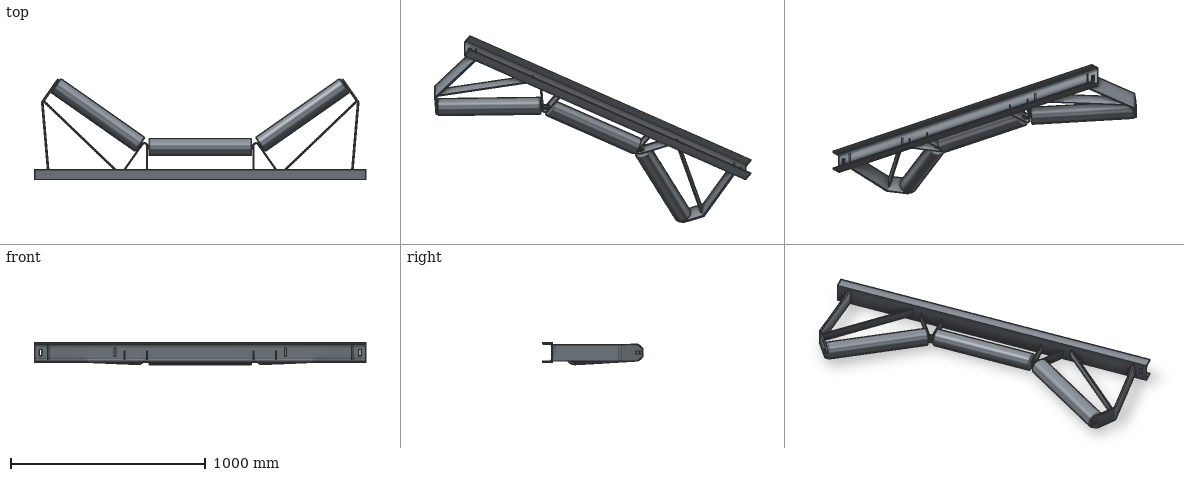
import cadquery as cq
import math


BEAM_LENGTH = 1700.0
BEAM_HEIGHT = 102.0
BEAM_DEPTH = 51.0
WEB_THICKNESS = 5.0
FLANGE_THICKNESS = 8.0
WEB_FILLET = 8.0
FLANGE_TIP_FILLET = 5.0
MOUNT_SLOT_FROM_END = 30.0
MOUNT_SLOT_WIDTH = 14.0
MOUNT_SLOT_HEIGHT = 30.0

ROLLER_RADIUS = 45.0
ROLLER_LENGTH = 527.0
ROLLER_END_FILLET = 5.0
SHAFT_LENGTH = 550.0
SHAFT_RADIUS = 10.0
SHAFT_FLATS = 14.0
CENTER_ROLLER_Y = 115.0
CENTER_ROLLER_Z = -19.0
WING_X = 525.0
WING_Y = 280.0
TROUGH_ANGLE = math.radians(35)
FORWARD_TILT = math.radians(2)

OUTER_THICKNESS = 8.0
OUTER_HEIGHT = 83.0
OUTER_TOP_Z = 40.0
OUTER_FOOT_X = 785.0
OUTER_BEND_BELOW_AXIS = 112.0
OUTER_BEND_RADIUS = 17.0
OUTER_TIP_ABOVE_AXIS = 32.0
TIP_CHAMFER_ALONG = 30.0
TIP_CHAMFER_ACROSS = 20.0

INNER_THICKNESS = 5.0
INNER_HEIGHT = 51.0
INNER_BEND_RADIUS = 16.2

BRACE_THICKNESS = 7.0
BRACE_HEIGHT = 45.0
BRACE_TOP_Z = 24.0
BRACE_FOOT_X = 437.0
BRACE_HEAD_X = 805.0
BRACE_HEAD_Y = 354.0

SHAFT_HALF = SHAFT_LENGTH / 2
OUTER_BOTTOM_Z = OUTER_TOP_Z - OUTER_HEIGHT
COS_TROUGH = math.cos(TROUGH_ANGLE)
SIN_TROUGH = math.sin(TROUGH_ANGLE)
WING_Z = CENTER_ROLLER_Z + SHAFT_HALF * math.sin(FORWARD_TILT)


def wing_point(outward, up):
    """Point (x, y) on the +X side, from distances along the wing roller's axis and square to it."""
    x = WING_X + outward * COS_TROUGH - up * SIN_TROUGH
    y = WING_Y + outward * SIN_TROUGH + up * COS_TROUGH
    return (x, y)


def wing_point_at_y(outward, y):
    """Point where a line square to the wing roller's axis reaches the given y."""
    return wing_point(outward, (y - WING_Y - outward * SIN_TROUGH) / COS_TROUGH)


def wing_point_at_x(outward, x):
    """Point where a line square to the wing roller's axis reaches the given x."""
    return wing_point(outward, (WING_X + outward * COS_TROUGH - x) / SIN_TROUGH)


def to_center(body):
    """Moves a body built along X at the origin to the center roller's place."""
    return body.translate((0, CENTER_ROLLER_Y, CENTER_ROLLER_Z))


def to_wing(body):
    """Moves a body built along X at the origin to the +X wing roller's place."""
    tilted = body.rotate((0, 0, 0), (0, 1, 0), -math.degrees(FORWARD_TILT))
    troughed = tilted.rotate((0, 0, 0), (0, 0, 1), math.degrees(TROUGH_ANGLE))
    return troughed.translate((WING_X, WING_Y, WING_Z))


def extrude_plate(outline, bottom_z, height):
    """Plate with the given outline in X and Y, standing from bottom_z."""
    return cq.Workplane("XY", origin=(0, 0, bottom_z)).polyline(outline).close().extrude(height)


def round_edge(body, direction, near, radius):
    """Fillets the one edge along the given direction whose middle is nearest to a point."""
    edge = body.edges(direction).edges(cq.selectors.NearestToPointSelector(near))
    return edge.fillet(radius)


def make_beam():
    half_height = BEAM_HEIGHT / 2
    inside_half = half_height - FLANGE_THICKNESS
    channel = [
        (0, -half_height),
        (0, half_height),
        (-BEAM_DEPTH, half_height),
        (-BEAM_DEPTH, inside_half),
        (-WEB_THICKNESS, inside_half),
        (-WEB_THICKNESS, -inside_half),
        (-BEAM_DEPTH, -inside_half),
        (-BEAM_DEPTH, -half_height),
    ]
    beam = cq.Workplane("YZ").polyline(channel).close().extrude(BEAM_LENGTH / 2, both=True)
    for z in (-inside_half, inside_half):
        beam = round_edge(beam, "|X", (0, -WEB_THICKNESS, z), WEB_FILLET)
        beam = round_edge(beam, "|X", (0, -BEAM_DEPTH, z), FLANGE_TIP_FILLET)

    slot_x = BEAM_LENGTH / 2 - MOUNT_SLOT_FROM_END
    slots = (
        cq.Workplane("XZ")
        .pushPoints([(-slot_x, 0), (slot_x, 0)])
        .rect(MOUNT_SLOT_WIDTH, MOUNT_SLOT_HEIGHT)
        .extrude(BEAM_DEPTH)
    )
    return beam.cut(slots)


def make_roller():
    """Roller along X at the origin, one solid with its shaft, which is flattened above and below."""
    drum_start = cq.Workplane("YZ", origin=(-ROLLER_LENGTH / 2, 0, 0))
    drum = drum_start.circle(ROLLER_RADIUS).extrude(ROLLER_LENGTH)
    drum = drum.edges("%CIRCLE").fillet(ROLLER_END_FILLET)
    shaft_start = cq.Workplane("YZ", origin=(-SHAFT_HALF, 0, 0))
    shaft = shaft_start.circle(SHAFT_RADIUS).extrude(SHAFT_LENGTH)
    flats = cq.Workplane("XY").box(SHAFT_LENGTH, 2 * SHAFT_RADIUS, SHAFT_FLATS)
    return drum.union(shaft.intersect(flats))


def make_shaft_slots():
    """Cutter, for a roller at the origin, of the slots open toward +Y that hold its shaft."""
    length = SHAFT_LENGTH + OUTER_THICKNESS
    depth = SHAFT_RADIUS + ROLLER_RADIUS
    slots = cq.Workplane("XY").box(length, depth, SHAFT_FLATS)
    return slots.translate((0, depth / 2 - SHAFT_RADIUS, 0))


def make_tip_profile():
    """Prism along the wing roller that bounds the outer bracket and cuts the corners off its tip."""
    tip = OUTER_TIP_ABOVE_AXIS
    below_bracket = -2 * WING_Y
    outline = [
        (below_bracket, OUTER_BOTTOM_Z),
        (tip - TIP_CHAMFER_ALONG, OUTER_BOTTOM_Z),
        (tip, OUTER_BOTTOM_Z + TIP_CHAMFER_ACROSS),
        (tip, OUTER_TOP_Z - TIP_CHAMFER_ACROSS),
        (tip - TIP_CHAMFER_ALONG, OUTER_TOP_Z),
        (below_bracket, OUTER_TOP_Z),
    ]
    prism = cq.Workplane("YZ").polyline(outline).close().extrude(SHAFT_LENGTH)
    prism = prism.rotate((0, 0, 0), (0, 0, 1), math.degrees(TROUGH_ANGLE))
    return prism.translate((WING_X, WING_Y, 0))


def make_outer_bracket():
    outer_face = SHAFT_HALF
    inner_face = SHAFT_HALF - OUTER_THICKNESS
    outer_bend = wing_point(outer_face, -OUTER_BEND_BELOW_AXIS)
    lean = math.atan2(outer_bend[0] - OUTER_FOOT_X, outer_bend[1])
    bend_shift = OUTER_THICKNESS * math.tan((lean + TROUGH_ANGLE) / 2)
    inner_bend = wing_point(inner_face, bend_shift - OUTER_BEND_BELOW_AXIS)
    outline = [
        (OUTER_FOOT_X, 0),
        outer_bend,
        wing_point(outer_face, OUTER_TIP_ABOVE_AXIS),
        wing_point(inner_face, OUTER_TIP_ABOVE_AXIS),
        inner_bend,
        (OUTER_FOOT_X - OUTER_THICKNESS / math.cos(lean), 0),
    ]
    bracket = extrude_plate(outline, OUTER_BOTTOM_Z, OUTER_HEIGHT)
    bracket = round_edge(bracket, "|Z", (*outer_bend, 0), OUTER_BEND_RADIUS)
    bracket = round_edge(bracket, "|Z", (*inner_bend, 0), OUTER_BEND_RADIUS - OUTER_THICKNESS)
    bracket = bracket.intersect(make_tip_profile())
    return bracket.cut(to_wing(make_shaft_slots()))


def make_inner_bracket():
    roller_side = SHAFT_HALF - INNER_THICKNESS
    far_side = SHAFT_HALF
    outer_bend = wing_point_at_x(-roller_side, roller_side)
    inner_bend = wing_point_at_x(-far_side, far_side)
    outline = [
        wing_point_at_y(-roller_side, 0),
        outer_bend,
        (roller_side, 0),
        (far_side, 0),
        inner_bend,
        wing_point_at_y(-far_side, 0),
    ]
    bracket = extrude_plate(outline, CENTER_ROLLER_Z - INNER_HEIGHT / 2, INNER_HEIGHT)
    bracket = round_edge(bracket, "|Z", (*outer_bend, CENTER_ROLLER_Z), INNER_BEND_RADIUS)
    inner_radius = INNER_BEND_RADIUS - INNER_THICKNESS
    bracket = round_edge(bracket, "|Z", (*inner_bend, CENTER_ROLLER_Z), inner_radius)
    bracket = bracket.cut(to_wing(make_shaft_slots()))
    return bracket.cut(to_center(make_shaft_slots()))


def make_brace(outer_bracket):
    """Brace whose head is trimmed to fit against the given outer bracket."""
    slope = math.atan2(BRACE_HEAD_Y, BRACE_HEAD_X - BRACE_FOOT_X)
    half = BRACE_THICKNESS / 2
    foot_half = half / math.sin(slope)
    side_x = half * math.sin(slope)
    side_y = half * math.cos(slope)
    outline = [
        (BRACE_FOOT_X - foot_half, 0),
        (BRACE_FOOT_X + foot_half, 0),
        (BRACE_HEAD_X + side_x, BRACE_HEAD_Y - side_y),
        (BRACE_HEAD_X - side_x, BRACE_HEAD_Y + side_y),
    ]
    bar = extrude_plate(outline, BRACE_TOP_Z - BRACE_HEIGHT, BRACE_HEIGHT)
    return bar.cut(outer_bracket)


beam = make_beam()
center_roller = to_center(make_roller())
wing_roller = to_wing(make_roller())
outer_bracket = make_outer_bracket()
inner_bracket = make_inner_bracket()
brace = make_brace(outer_bracket)

solids = [beam.solids().val(), center_roller.solids().val()]
for side_body in (wing_roller, outer_bracket, inner_bracket, brace):
    solids.append(side_body.solids().val())
    solids.append(side_body.mirror("YZ").solids().val())

result = cq.Compound.makeCompound(solids)